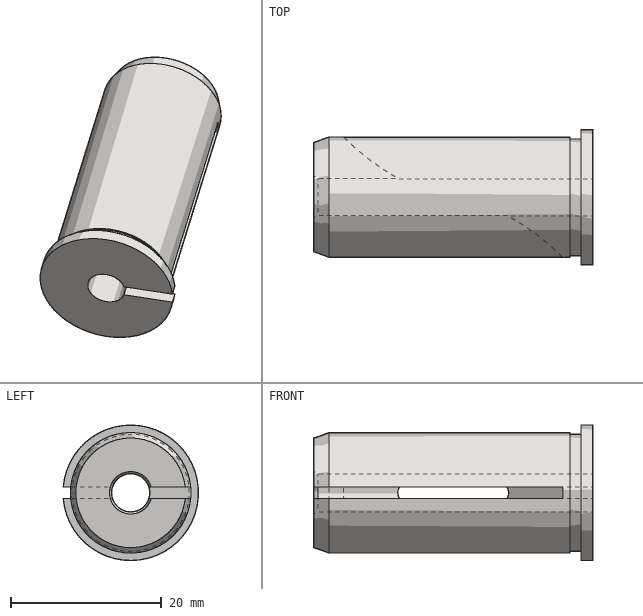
import cadquery as cq
import math

length = 37.0
body_radius = 8.0
flange_radius = 9.0
flange_thickness = 1.6
relief_radius = 7.77
relief_width = 1.45
taper_length = 2.0
taper_angle = 20.0

bore_radius = 2.5
bore_chamfer_depth = 0.3
bore_chamfer_length = 0.6

slot_width = 1.48
saw_radius = 31.45
slot_length_at_surface = 33.05
slot_length_at_bore = 25.83

tip_radius = body_radius - taper_length * math.tan(math.radians(taper_angle))
flange_start = length - flange_thickness
relief_start = flange_start - relief_width
bore_mouth_radius = bore_radius + bore_chamfer_depth


def make_sleeve():
    """Revolve the outer outline and the chamfered bore about the X axis."""
    return (
        cq.Workplane("XY")
        .moveTo(0, bore_mouth_radius)
        .lineTo(0, tip_radius)
        .lineTo(taper_length, body_radius)
        .lineTo(relief_start, body_radius)
        .lineTo(relief_start, relief_radius)
        .lineTo(flange_start, relief_radius)
        .lineTo(flange_start, flange_radius)
        .lineTo(length, flange_radius)
        .lineTo(length, bore_radius)
        .lineTo(bore_chamfer_length, bore_radius)
        .close()
        .revolve(360, (0, 0, 0), (1, 0, 0))
    )


def make_saw():
    """Disc on the -Y side whose rim passes through the slot ends at the bore and the surface."""
    run = slot_length_at_surface - slot_length_at_bore
    rise = body_radius - bore_radius
    chord = math.hypot(run, rise)
    center_offset = math.sqrt(saw_radius**2 - (chord / 2) ** 2)
    center_x = (slot_length_at_surface + slot_length_at_bore) / 2 - center_offset * rise / chord
    center_y = -(body_radius + bore_radius) / 2 - center_offset * run / chord
    return (
        cq.Workplane("XY")
        .center(center_x, center_y)
        .circle(saw_radius)
        .extrude(slot_width / 2, both=True)
    )


front_saw = make_saw()
rear_saw = front_saw.rotate((length / 2, 0, 0), (length / 2, 0, 1), 180)

result = make_sleeve().cut(front_saw).cut(rear_saw)